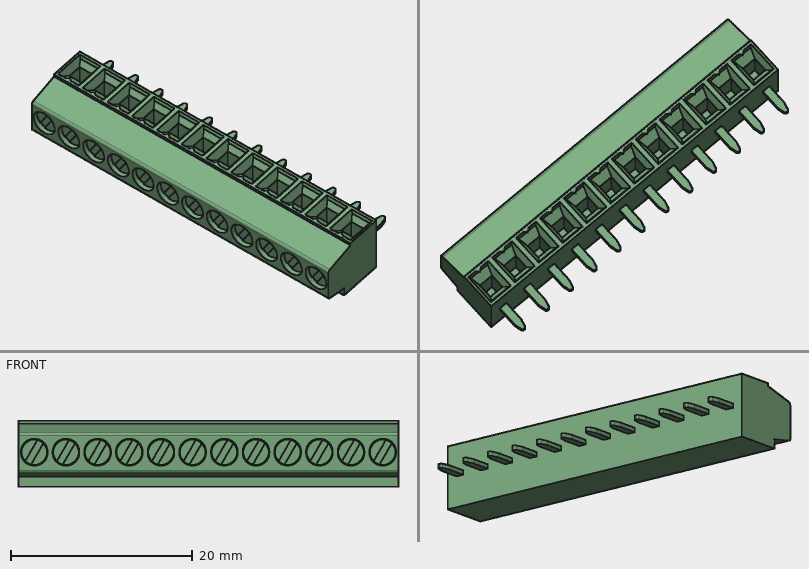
import cadquery as cq


POLES = 12
LENGTH = 42
PITCH = LENGTH / POLES
POLE_CENTERS = [(i + 0.5) * PITCH - LENGTH / 2 for i in range(POLES)]

DEPTH = 8.5
HEIGHT = 7.3
TOP_LAND = 4.58
TOP_STEP = 0.35
BASE_LAND = 5.7
BASE_STEP = 1.1
NOSE_TOP = 5.95
NOSE_BOTTOM = 1.6
NOSE_TOP_RADIUS = 0.38
NOSE_BOTTOM_RADIUS = 0.3

AXIS_HEIGHT = 3.82

BORE_DIAMETER = 3.0
BORE_DEPTH = 2.1
SCREW_DIAMETER = 2.8
SCREW_RECESS = 0.55
SLOT_WIDTH = 0.75
SLOT_DEPTH = 0.1
SLOT_ANGLE = 60

ENTRY_WIDTH = 2.9
ENTRY_BACK = 0.38
ENTRY_FRONT = 4.2
SHAFT_SIZE = 1.75
SHAFT_BACK = 1.15
SHAFT_FLOOR = AXIS_HEIGHT - BORE_DIAMETER / 2
FUNNEL_DEPTH = 1.0
LIP_DEPTH = 0.38
LIP_INSET = 0.15
TAB_WIDTH = 0.75
TAB_REACH = 0.3

PIN_LENGTH = 3.53
PIN_WIDTH = 0.95
PIN_THICKNESS = 0.5
PIN_ROOT = 0.4
TIP_LENGTH = 1.0
TIP_WIDTH = 0.45
TIP_RADIUS = 0.2


def make_housing():
    profile = [
        (0, 0),
        (0, HEIGHT),
        (-TOP_LAND, HEIGHT),
        (-TOP_LAND, HEIGHT - TOP_STEP),
        (-DEPTH, NOSE_TOP),
        (-DEPTH, NOSE_BOTTOM),
        (-BASE_LAND, BASE_STEP),
        (-BASE_LAND, 0),
    ]
    body = (
        cq.Workplane("YZ", origin=(-LENGTH / 2, 0, 0))
        .polyline(profile)
        .close()
        .extrude(LENGTH)
    )
    body = body.faces("<Y").edges("|X").edges(">Z").fillet(NOSE_TOP_RADIUS)
    return body.faces("<Y").edges("|X").edges("<Z").fillet(NOSE_BOTTOM_RADIUS)


def make_frustum(upper, lower):
    """Loft between two levels, each given as (width, back, front, height)."""
    width, back, front, height = upper
    low_width, low_back, low_front, low_height = lower
    return (
        cq.Workplane("XY", origin=(0, -(back + front) / 2, height))
        .rect(width, front - back)
        .workplane(offset=low_height - height)
        .center(0, (back + front - low_back - low_front) / 2)
        .rect(low_width, low_front - low_back)
        .loft(ruled=True)
    )


def make_wire_entry():
    lip_width = ENTRY_WIDTH - (ENTRY_WIDTH - SHAFT_SIZE) * LIP_DEPTH / FUNNEL_DEPTH
    shaft_front = SHAFT_BACK + SHAFT_SIZE
    funnel_floor = HEIGHT - FUNNEL_DEPTH

    rim = (ENTRY_WIDTH, ENTRY_BACK, ENTRY_FRONT, HEIGHT)
    lip = (
        lip_width,
        ENTRY_BACK + LIP_INSET,
        ENTRY_FRONT - LIP_INSET,
        HEIGHT - LIP_DEPTH,
    )
    throat = (SHAFT_SIZE, SHAFT_BACK, shaft_front, funnel_floor)
    floor = (SHAFT_SIZE, SHAFT_BACK, shaft_front, SHAFT_FLOOR)

    entry = make_frustum(rim, lip)
    entry = entry.union(make_frustum(lip, throat))
    entry = entry.union(make_frustum(throat, floor))

    tab = (
        cq.Workplane("XY", origin=(0, -ENTRY_FRONT, HEIGHT))
        .polyline([(-TAB_WIDTH / 2, 0), (TAB_WIDTH / 2, 0), (0, TAB_REACH)])
        .close()
        .extrude(-FUNNEL_DEPTH)
    )
    return entry.cut(tab)


def make_bore():
    return (
        cq.Workplane("XZ", origin=(0, -DEPTH, AXIS_HEIGHT))
        .circle(BORE_DIAMETER / 2)
        .extrude(-BORE_DEPTH)
    )


def make_screw():
    face = cq.Workplane("XZ", origin=(0, -DEPTH + SCREW_RECESS, AXIS_HEIGHT))
    head = face.circle(SCREW_DIAMETER / 2).extrude(-(BORE_DEPTH - SCREW_RECESS))
    slot = (
        face.transformed(rotate=(0, 0, SLOT_ANGLE))
        .rect(BORE_DIAMETER, SLOT_WIDTH)
        .extrude(-SLOT_DEPTH)
    )
    return head.cut(slot)


def make_pin():
    shoulder = PIN_LENGTH - TIP_LENGTH
    outline = [
        (-PIN_WIDTH / 2, -PIN_ROOT),
        (-PIN_WIDTH / 2, shoulder),
        (-TIP_WIDTH / 2, PIN_LENGTH),
        (TIP_WIDTH / 2, PIN_LENGTH),
        (PIN_WIDTH / 2, shoulder),
        (PIN_WIDTH / 2, -PIN_ROOT),
    ]
    return (
        cq.Workplane("XY", origin=(0, 0, AXIS_HEIGHT - PIN_THICKNESS / 2))
        .polyline(outline)
        .close()
        .extrude(PIN_THICKNESS)
        .faces(">Y")
        .edges("|Z")
        .fillet(TIP_RADIUS)
    )


cutout = make_wire_entry().union(make_bore())
screw = make_screw()
pin = make_pin()

result = make_housing()
for x in POLE_CENTERS:
    result = result.cut(cutout.translate((x, 0, 0)))
    result = result.union(screw.translate((x, 0, 0)))
    result = result.union(pin.translate((x, 0, 0)))